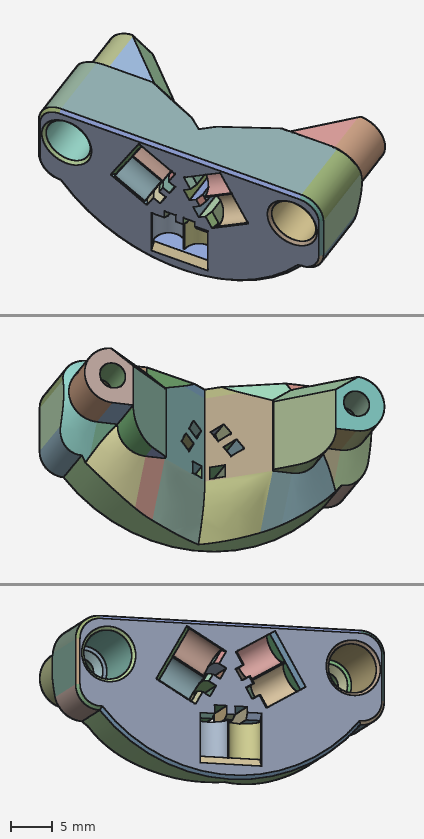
import cadquery as cq
import math

width = 38.6
body_depth = 10.75
total_depth = 17.18
top_z = 4.7
bottom_z = -14.35
corner_radius = 3.0
ear_bottom_z = -6.85
edge_chamfer = 0.42

screw_x = 15.3
screw_diameter = 3.2
head_diameter = 6.0
head_mouth_diameter = 6.75
head_depth = 10.8
countersink_diameter = 5.0

leg_radius = 3.5
leg_inner_x = -6.75
leg_foot_x = -9.2
leg_foot_z = -7.2
bevel_run = 2.8
bevel_angle = math.radians(35)
notch_sum = 4.48
flare_taper = 50.0

pocket_center_z = -3.63
pocket_half_width = 3.82
pocket_spacing = 120
roller_radius = 1.95
roller_offset = 2.05
roller_depth = 1.12
channel_depth = 1.15
roller_inner = 3.35
roller_outer = 8.05
inner_mouth = 2.9
inner_lead_in = 0.93
wide_mouth = 2.55
wide_lead_in = 0.55
outer_lead_in = 0.75
outer_mouth = 8.55
low_outer_mouth = 9.0
window_offset = 1.27
window_size = 1.55
window_inner = 1.85


def on_front(y):
    """Sketch plane at depth y with local x = X and local y = Z; it extrudes toward -Y."""
    return cq.Workplane("XZ", origin=(0, y, 0))


def mirrored(left):
    """The left-hand solid together with its copy on the +X side."""
    return left.union(left.mirror("YZ"))


def body_outline():
    """Front outline: rounded ears joined below by one wide arc."""
    half = width / 2
    straight_x = half - corner_radius
    diagonal = corner_radius * (1 - math.sqrt(0.5))
    return (
        on_front(body_depth)
        .moveTo(-straight_x, top_z)
        .lineTo(straight_x, top_z)
        .threePointArc((half - diagonal, top_z - diagonal), (half, top_z - corner_radius))
        .lineTo(half, ear_bottom_z + corner_radius)
        .threePointArc((half - diagonal, ear_bottom_z + diagonal), (straight_x, ear_bottom_z))
        .threePointArc((0, bottom_z), (-straight_x, ear_bottom_z))
        .threePointArc((diagonal - half, ear_bottom_z + diagonal), (-half, ear_bottom_z + corner_radius))
        .lineTo(-half, top_z - corner_radius)
        .threePointArc((diagonal - half, top_z - diagonal), (-straight_x, top_z))
        .close()
    )


def leg_section(y):
    """Outline of the left leg: a round boss at the screw, joined to a foot with one rounded corner."""
    foot_arc_x = leg_foot_x - leg_radius * math.sqrt(0.5)
    foot_arc_z = leg_foot_z + leg_radius * (1 - math.sqrt(0.5))
    return (
        on_front(y)
        .moveTo(leg_inner_x, leg_radius)
        .lineTo(-screw_x, leg_radius)
        .threePointArc((-screw_x - leg_radius, 0), (-screw_x, -leg_radius))
        .lineTo(leg_foot_x - leg_radius, -leg_radius)
        .lineTo(leg_foot_x - leg_radius, leg_foot_z + leg_radius)
        .threePointArc((foot_arc_x, foot_arc_z), (leg_foot_x, leg_foot_z))
        .lineTo(leg_inner_x, leg_foot_z)
        .close()
    )


def swept_region(points, y, direction):
    """Solid swept from an XZ polygon at depth y along a direction."""
    wire = cq.Wire.makePolygon([cq.Vector(x, y, z) for x, z in points], close=True)
    return cq.Workplane(obj=cq.Solid.extrudeLinear(wire, [], cq.Vector(*direction)))


def flared_leg():
    """The leg section grows toward the face; a bevel plane grows with it."""
    flare = leg_section(body_depth).extrude(body_depth, taper=-flare_taper)
    start_x = notch_sum - body_depth - bevel_run
    along = (math.cos(bevel_angle), -math.sin(bevel_angle))
    normal = (math.sin(bevel_angle), math.cos(bevel_angle))
    spread = body_depth * math.tan(math.radians(flare_taper))
    corners = [(-width, 0), (width, 0), (width, -2 * width), (-width, -2 * width)]
    region = [
        (start_x + t * along[0] + n * normal[0], leg_radius + t * along[1] + n * normal[1]) for t, n in corners
    ]
    below_bevel = swept_region(region, body_depth, (spread * normal[0], -body_depth, spread * normal[1]))
    return flare.intersect(below_bevel)


def straight_leg():
    """The leg beyond the body, cut at 45 degrees toward its tip with the same bevel."""
    leg = leg_section(total_depth).extrude(total_depth - body_depth)
    reach = notch_sum - total_depth
    region = [
        (reach - bevel_run, leg_radius),
        (reach, leg_radius - bevel_run * math.tan(bevel_angle)),
        (reach, leg_foot_z),
        (reach - width, leg_foot_z),
        (reach - width, leg_radius),
    ]
    return leg.intersect(swept_region(region, total_depth, (total_depth, -total_depth, 0)))


def screw_cut():
    """Left screw hole: recessed head with a chamfered mouth, a conical seat and a through bore."""

    def round_cut(diameter, depth):
        return on_front(depth).center(-screw_x, 0).circle(diameter / 2).extrude(depth)

    def cone(start_diameter, end_diameter, y):
        start = start_diameter / 2
        end = end_diameter / 2
        base = cq.Vector(-screw_x, y, 0)
        return cq.Workplane(obj=cq.Solid.makeCone(start, end, start - end, base, cq.Vector(0, 1, 0)))

    cut = round_cut(screw_diameter, total_depth).union(round_cut(head_diameter, head_depth))
    cut = cut.union(cone(head_mouth_diameter, head_diameter, 0))
    return cut.union(cone(countersink_diameter, screw_diameter, head_depth))


def channel(x_start, x_end, inner, lead_in, outer):
    """Box with sloped ends between two X positions, reaching down to the rib between the rollers."""
    profile = [
        (0, -inner),
        (lead_in, -roller_inner),
        (channel_depth, -roller_inner),
        (channel_depth, -roller_outer),
        (outer_lead_in, -roller_outer),
        (0, -outer),
    ]
    return cq.Workplane("YZ", origin=(x_start, 0, 0)).polyline(profile).close().extrude(x_end - x_start)


def pocket(outer, side_inner, side_lead_in):
    """Two-roller pocket pointing to -Z from the origin; the inner slope may differ beyond the +X window."""
    cut = channel(-pocket_half_width, window_offset, inner_mouth, inner_lead_in, outer)
    cut = cut.union(channel(window_offset, pocket_half_width, side_inner, side_lead_in, outer))
    for side in (-1, 1):
        roller = (
            cq.Workplane("XY", origin=(side * roller_offset, roller_depth, -roller_outer))
            .circle(roller_radius)
            .extrude(roller_outer - roller_inner)
        )
        window = (
            on_front(total_depth)
            .center(side * window_offset, -(window_inner + roller_inner) / 2)
            .rect(window_size, roller_inner - window_inner)
            .extrude(total_depth)
        )
        cut = cut.union(roller).union(window)
    return cut


def pocket_cuts():
    """Three pockets at 120 degrees; only the low one has the wider mouth."""
    cuts = pocket(low_outer_mouth, wide_mouth, wide_lead_in)
    plain = pocket(outer_mouth, inner_mouth, inner_lead_in)
    for angle in (-pocket_spacing, pocket_spacing):
        cuts = cuts.union(plain.rotate((0, 0, 0), (0, 1, 0), angle))
    return cuts.translate((0, 0, pocket_center_z))


body = body_outline().extrude(body_depth).faces("<Y").chamfer(edge_chamfer)
body = body.intersect(mirrored(flared_leg()))
body = body.union(mirrored(straight_leg()))
result = body.cut(mirrored(screw_cut())).cut(pocket_cuts())